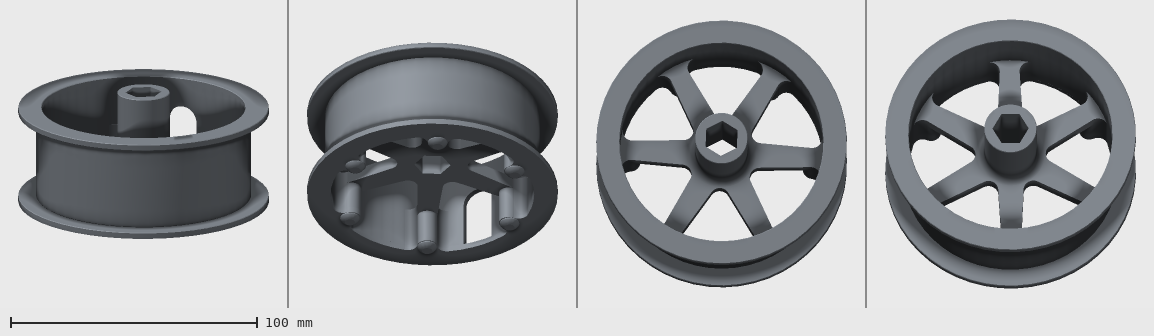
import cadquery as cq
import math

overall_diameter = 101.6
overall_height = 48.48
head_height = 2.21
hub_top = overall_height - head_height
hub_rise = 6.35
spool_top = hub_top - hub_rise

flange_radius = overall_diameter / 2
flange_thickness = 2.54
plate_thickness = 2.54
drum_outer_radius = 43.66
drum_inner_radius = 41.275
edge_chamfer = 0.25

hub_radius = 10.65
hub_fillet = 3.175
hex_across_flats = 12.7

spoke_count = 6
spoke_pitch = 360 / spoke_count
web_top = 19.9
web_thickness = 5.35
web_bottom = web_top - web_thickness
spoke_root_half_width = 5.97
spoke_taper = 0.054
window_fillet = 4.0

screw_circle_radius = 37.4
head_diameter = 7.92
head_tip_diameter = 4.2
head_lip = 0.4
crown_ratio = 0.86
shank_diameter = 4.166
shank_length = 12.7
nose_circle_radius = 36.9
nose_half_width = spoke_root_half_width - spoke_taper * nose_circle_radius
nose_radius = nose_half_width * math.cos(math.atan(spoke_taper))
boss_back_radius = math.hypot(nose_circle_radius, nose_radius)

slot_width = 12.7
slot_crown_center = 21.65
slot_angle = 120


def cylinder(radius, bottom, top):
    return cq.Workplane("XY").workplane(offset=bottom).circle(radius).extrude(top - bottom)


def spoke_angles():
    return [90 + spoke_pitch * i for i in range(spoke_count)]


def polar(radius, angle):
    return (radius * math.cos(math.radians(angle)), radius * math.sin(math.radians(angle)))


def window(bottom, top):
    """Opening between two spokes, centred on the +X axis, with rounded corners."""
    half_pitch = math.radians(spoke_pitch / 2)
    apex = spoke_root_half_width / (math.sin(half_pitch) + spoke_taper * math.cos(half_pitch))
    side_angle = half_pitch + math.atan(spoke_taper)
    along = -apex * math.cos(side_angle) + math.sqrt(
        drum_inner_radius**2 - (apex * math.sin(side_angle))**2
    )
    corner_x = apex + along * math.cos(side_angle)
    corner_y = along * math.sin(side_angle)
    blank = (
        cq.Workplane("XY").workplane(offset=bottom)
        .moveTo(apex, 0)
        .lineTo(corner_x, -corner_y)
        .threePointArc((drum_inner_radius, 0), (corner_x, corner_y))
        .close()
        .extrude(top - bottom)
    )
    rounded = blank.edges("|Z").edges("<X").fillet(window_fillet)
    for side in (-1, 1):
        corner = cq.selectors.NearestToPointSelector((corner_x, side * corner_y, (bottom + top) / 2))
        rounded = rounded.edges("|Z").edges(corner).fillet(window_fillet)
    return rounded


def spider(bottom, top):
    """Disc inside the drum with the windows cut out, leaving the spokes."""
    disc = cylinder(drum_inner_radius, bottom, top)
    opening = window(bottom, top)
    for angle in spoke_angles():
        disc = disc.cut(opening.rotate((0, 0, 0), (0, 0, 1), angle + spoke_pitch / 2))
    return disc


def boss_ring(bottom, top):
    """Spoke ends cut off behind the screws, each finished with a round nose."""
    ring = spider(bottom, top).cut(cylinder(boss_back_radius, bottom, top))
    for angle in spoke_angles():
        nose = cylinder(nose_radius, bottom, top).translate(polar(nose_circle_radius, angle) + (0,))
        ring = ring.union(nose)
    return ring


def screw_holes(bottom, top):
    points = [polar(screw_circle_radius, angle) for angle in spoke_angles()]
    return (
        cq.Workplane("XY").workplane(offset=bottom)
        .pushPoints(points).circle(shank_diameter / 2).extrude(top - bottom)
    )


def wall_slot():
    """Round-topped slot running radially through one side of the drum wall."""
    half_width = slot_width / 2
    start = drum_inner_radius - half_width
    slot = (
        cq.Workplane("YZ").workplane(offset=start)
        .moveTo(-half_width, plate_thickness)
        .lineTo(half_width, plate_thickness)
        .lineTo(half_width, slot_crown_center)
        .threePointArc((0, slot_crown_center + half_width), (-half_width, slot_crown_center))
        .close()
        .extrude(flange_radius - start)
    )
    return slot.rotate((0, 0, 0), (0, 0, 1), slot_angle)


def make_spool():
    flange = cylinder(flange_radius, spool_top - flange_thickness, spool_top).edges().chamfer(edge_chamfer)
    drum = cylinder(drum_outer_radius, plate_thickness, spool_top)
    drum = drum.faces("<Z").chamfer(edge_chamfer).union(flange)
    drum = drum.cut(cylinder(drum_inner_radius, plate_thickness, spool_top))
    drum = drum.edges(cq.selectors.RadiusNthSelector(0)).edges(">Z").chamfer(edge_chamfer)
    drum = drum.cut(wall_slot())

    hub_foot = (
        cq.Workplane("XZ")
        .moveTo(0, web_top)
        .lineTo(hub_radius + hub_fillet, web_top)
        .radiusArc((hub_radius, web_top + hub_fillet), hub_fillet)
        .lineTo(0, web_top + hub_fillet)
        .close()
        .revolve(360, (0, 0, 0), (0, 1, 0))
    )
    hub = cylinder(hub_radius, web_bottom, hub_top).faces(">Z").chamfer(edge_chamfer)
    hex_bore = (
        cq.Workplane("XY").workplane(offset=web_bottom)
        .polygon(6, hex_across_flats / math.cos(math.pi / 6))
        .extrude(hub_top - web_bottom)
    )

    spool = drum.union(boss_ring(plate_thickness, web_top)).union(spider(web_bottom, web_top))
    spool = spool.union(hub).union(hub_foot).cut(hex_bore)
    return spool.cut(screw_holes(plate_thickness, shank_length))


def make_end_plate():
    plate = cylinder(flange_radius, 0, plate_thickness).faces(">Z").chamfer(edge_chamfer)
    plate = plate.cut(cylinder(drum_inner_radius, 0, plate_thickness))
    plate = plate.union(boss_ring(0, plate_thickness))
    return plate.cut(screw_holes(0, plate_thickness))


def make_screw(angle):
    """Button head screw pointing up, its head bearing on the end plate."""
    head_radius = head_diameter / 2
    tip_radius = head_tip_diameter / 2
    dome_height = head_height - head_lip
    crown = (crown_ratio * head_radius, -head_lip - dome_height / 2)
    profile = (
        cq.Workplane("XZ")
        .moveTo(0, -head_height)
        .lineTo(tip_radius, -head_height)
        .threePointArc(crown, (head_radius, -head_lip))
        .lineTo(head_radius, 0)
        .lineTo(shank_diameter / 2, 0)
        .lineTo(shank_diameter / 2, shank_length)
        .lineTo(0, shank_length)
        .close()
    )
    screw = profile.revolve(360, (0, 0, 0), (0, 1, 0))
    return screw.translate(polar(screw_circle_radius, angle) + (0,))


spool = make_spool()
end_plate = make_end_plate()
screws = [make_screw(angle) for angle in spoke_angles()]

result = cq.Compound.makeCompound([spool.val(), end_plate.val(), *[screw.val() for screw in screws]])